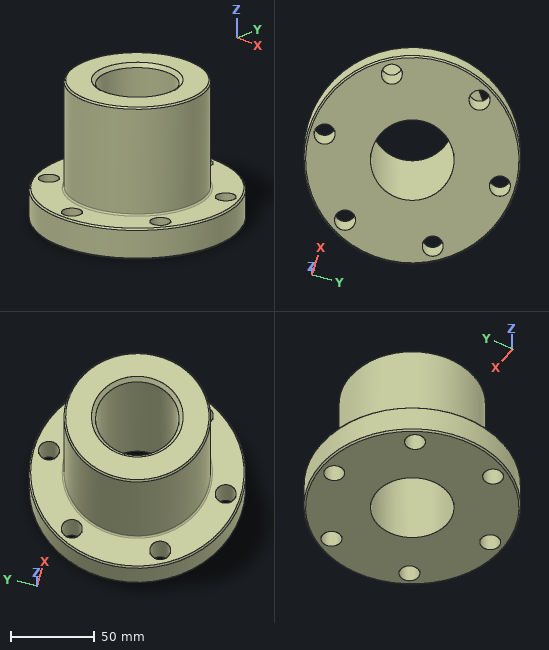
import cadquery as cq

flange_diameter = 130.0
flange_thickness = 20.0
edge_chamfer = 1.0

barrel_diameter = 88.0
total_height = 90.0
root_fillet = 1.0

bore_diameter = 50.0
bore_chamfer = 2.5

bolt_hole_diameter = 12.5
bolt_circle_diameter = 110.0
bolt_hole_count = 6
first_bolt_angle = 90.0


def make_flange():
    """Round flange on the XY plane with both rims chamfered."""
    flange = cq.Workplane("XY").circle(flange_diameter / 2).extrude(flange_thickness)
    return flange.faces("<Z or >Z").edges().chamfer(edge_chamfer)


def make_barrel():
    """Cylinder rising through the flange, chamfered at its top rim."""
    barrel = cq.Workplane("XY").circle(barrel_diameter / 2).extrude(total_height)
    return barrel.faces(">Z").edges().chamfer(edge_chamfer)


def fillet_barrel_root(body):
    """Round the inside corner between the barrel and the flange face."""
    margin = root_fillet / 2
    selection_radius = barrel_diameter / 2 + margin
    root_edge = cq.selectors.BoxSelector(
        (-selection_radius, -selection_radius, flange_thickness - margin),
        (selection_radius, selection_radius, flange_thickness + margin),
        boundingbox=True,
    )
    return body.edges(root_edge).fillet(root_fillet)


def make_bore():
    """Through bore cutter with a conical lead-in at the top."""
    bore = cq.Workplane("XY").circle(bore_diameter / 2).extrude(total_height)
    lead_in = cq.Workplane("XY").add(
        cq.Solid.makeCone(
            bore_diameter / 2,
            bore_diameter / 2 + bore_chamfer,
            bore_chamfer,
            pnt=cq.Vector(0, 0, total_height - bore_chamfer),
        )
    )
    return bore.union(lead_in)


def make_bolt_holes():
    """Ring of through-hole cutters for the flange."""
    return (
        cq.Workplane("XY")
        .polarArray(bolt_circle_diameter / 2, first_bolt_angle, 360, bolt_hole_count)
        .circle(bolt_hole_diameter / 2)
        .extrude(flange_thickness)
    )


body = fillet_barrel_root(make_flange().union(make_barrel()))
result = body.cut(make_bore()).cut(make_bolt_holes())